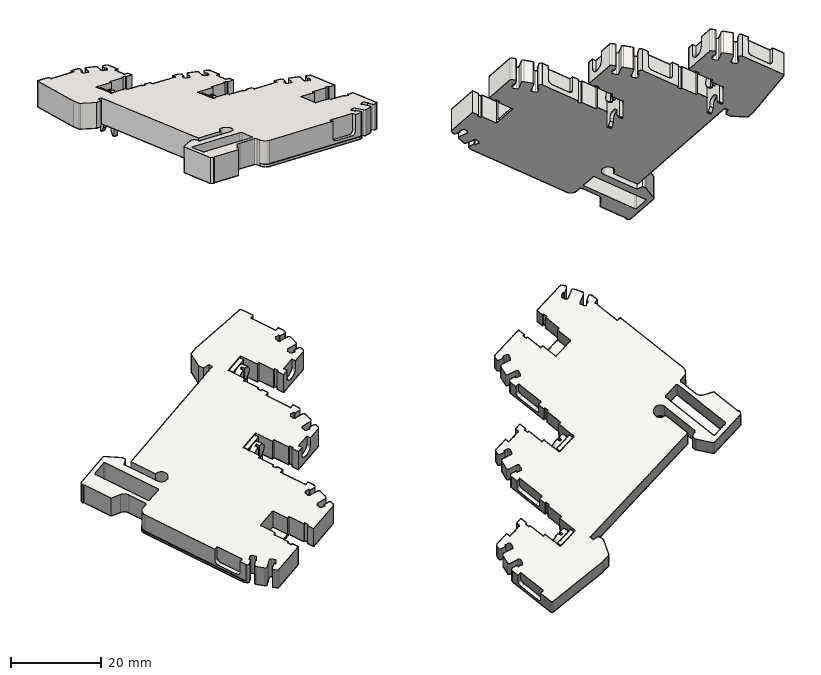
import cadquery as cq
import math

length = 62.0
height = 50.5
thickness = 6.15

lip_width = 0.2
lip_height = 0.6

pitch_x = 17.05
pitch_y = 15.0
tower_left = [0, pitch_x, 2 * pitch_x]
tower_top = [height - 2 * pitch_y, height - pitch_y, height]
notch_width = 6.2
wall_right = length - lip_width
big_center = (tower_left[2] + wall_right) / 2
notch_centers = [pitch_x - notch_width / 2, 2 * pitch_x - notch_width / 2, big_center]

notch_depth = 6.5
well_width = 5.0
seat_depth = 9.9
well_depth = 11.0
big_well_depth = 10.4
well_floor = 0.6
groove_depth = 0.4
groove_top = 1.7
groove_height = 0.9

lug_tilt = -20
lug_face = 2.35
lug_slot_end = 5.3
lug_slot_width = 1.2
lug_slot_relief = 0.4
lug_relief_start = 4.0
lug_axis = -3.15
lug_half_width = 1.4
lug_round = 0.45
slot_round = 0.45

entry_depth = 0.9
entry_top = 8.5
entry_height = 6.6
entry_floor = 1.3
entry_round = 1.05

driver_hole_width = 3.35
driver_hole_depth = 0.9
driver_hole_x = 7.7

screw_diameter = 4.35
screw_z = 3.5
screw_top = 8.45
screw_slot_width = 0.55
screw_slot_depth = 0.8
clamp_width = 4.35
clamp_top = thickness - 0.3
fork_width = 4.7
fork_thickness = 0.9
fork_reach = 4.45
fork_mouth = 2.6
fork_mouth_top = -1.2
fork_straight_end = -3.4
fork_tip = 0.45

rail_y = 5.95
hook_y = 5.1
hook_tip_y = 4.6
spring_slot_left = 50.5
spring_hole_radius = 1.5
spring_slot_right = spring_slot_left + spring_hole_radius
spring_hole_y = 14.0
leg_top = 15.5
leg_right = 58.9
wall_round = 1.55
left_corner = (0, 2.1)
hook_corner = (16.9, 0)
rail_left = 17.4
catch_top = (spring_slot_left, 3.7)
catch_bottom = (52.5, 0)
nose_start = 61.6
nose_y = 0.5
nose_height = 0.4
nose_step = 0.05
leg_bend = (leg_right, 9.8)
leg_corner = (leg_right, leg_top)
wall_corner = (wall_right, leg_top)
corner_round = 0.4
catch_round = 0.6
bend_round = 1.85
window_left = 53.9
window_right = 57.9
window_bottom = 1.1
window_round = 0.25


def block(x0, x1, y0, y1, z0=0.0, z1=thickness):
    """Box given by its limits."""
    return cq.Workplane("XY").box(x1 - x0, y1 - y0, z1 - z0, centered=False).translate((x0, y0, z0))


def vertical_near(points, reach=0.2):
    """Return an edge test: does the edge stand over one of the points?"""
    def test(edge):
        middle = edge.Center()
        return any(math.hypot(middle.x - x, middle.y - y) < reach for x, y in points)
    return test


def base_plate():
    """Stepped plate with the rail foot, without any tower details."""
    outline = [
        left_corner, (14.8, 0), hook_corner, (18.9, 3.3), (18.9, hook_tip_y),
        (rail_left, hook_y), (rail_left, rail_y),
        (spring_slot_left, rail_y), (spring_slot_left, spring_hole_y),
        (spring_slot_right, spring_hole_y), (spring_slot_right, hook_y),
        (spring_slot_left, hook_tip_y), catch_top, catch_bottom,
        (nose_start, 0), (length, nose_y), (length, nose_y + nose_height),
        (wall_right, nose_y + nose_height + nose_step), (wall_right, 8.05), leg_bend, leg_corner, wall_corner,
        (wall_right, tower_top[2]), (tower_left[2], tower_top[2]), (tower_left[2], tower_top[1]),
        (tower_left[1], tower_top[1]), (tower_left[1], tower_top[0]), (tower_left[0], tower_top[0]),
    ]
    plate = cq.Workplane("XY").polyline(outline).close().extrude(thickness)
    for radius, corners in [
        (corner_round, [left_corner, hook_corner, catch_bottom, leg_corner]),
        (catch_round, [catch_top]),
        (wall_round, [wall_corner]),
        (bend_round, [leg_bend]),
    ]:
        plate = plate.edges("|Z").filter(vertical_near(corners)).fillet(radius)
    spring_hole = (
        cq.Workplane("XY")
        .center(spring_slot_left, spring_hole_y)
        .circle(spring_hole_radius)
        .extrude(thickness)
    )
    window = block(window_left, window_right, window_bottom, leg_top).edges("|Z").fillet(window_round)
    return plate.cut(spring_hole).cut(window)


def lug_cutter():
    """Waste around the lugs of a left-hand tower corner, corner at the origin."""
    waste_reach = 12.4
    waste = block(-waste_reach, lug_face, -waste_reach, waste_reach)
    lug = block(0, lug_slot_end, -lug_half_width, lug_half_width)
    for side in (1, -1):
        near = side * lug_half_width
        far = near + side * lug_slot_width
        relief = far + side * lug_slot_relief
        slot = block(0, lug_slot_end, min(near, far), max(near, far))
        pocket = block(lug_relief_start, lug_slot_end, min(near, relief), max(near, relief))
        slot = slot.union(pocket)
        slot = slot.edges("|Z and >X").fillet(slot_round)
        waste = waste.union(slot.translate((0, lug_axis, 0)))
    return waste.rotate((0, 0, 0), (0, 0, 1), lug_tilt)


def shoulder(plate, x, y, facing):
    """Cut the slotted lugs into a tower corner at (x, y); facing is 1 for left corners, -1 for right."""
    cutter = lug_cutter()
    if facing < 0:
        cutter = cutter.mirror("YZ")
    plate = plate.cut(cutter.translate((x, y, 0)))

    tilt = math.radians(lug_tilt)
    slot_outer = lug_half_width + lug_slot_width
    tips = []
    for offset in (slot_outer, lug_half_width, -lug_half_width, -slot_outer):
        across = lug_axis + offset
        tips.append((
            lug_face * math.cos(tilt) - across * math.sin(tilt),
            lug_face * math.sin(tilt) + across * math.cos(tilt),
        ))
    tips.append((lug_face / math.cos(tilt), 0))
    corners = [(x + facing * dx, y + dy) for dx, dy in tips]
    return plate.edges("|Z").filter(vertical_near(corners)).fillet(lug_round)


def entry_recess(wall_x, top):
    """Recess in an outer wall, open at the upper face, with rounded lower corners."""
    upper = top - entry_top
    lower = upper - entry_height
    recess = block(wall_x - entry_depth, wall_x + entry_depth, lower, upper, entry_floor, thickness)
    return recess.edges("|X and <Z").fillet(entry_round)


def screw_notch(center, top):
    """Through notch between two towers with a groove in each side wall."""
    half = notch_width / 2
    notch = block(center - half, center + half, top - notch_depth, top)
    groove_y = top - groove_top
    grooves = block(
        center - half - groove_depth, center + half + groove_depth, groove_y - groove_height, groove_y
    )
    return notch.union(grooves)


def driver_hole(center, top):
    """Shallow round-bottomed notch in a tower top, open at the upper face."""
    radius = driver_hole_width / 2
    bore = (
        cq.Workplane("XZ", origin=(center, top, screw_z)).circle(radius).extrude(driver_hole_depth)
    )
    opening = block(center - radius, center + radius, top - driver_hole_depth, top, screw_z, thickness)
    return bore.union(opening)


def clamp_screw(center, top):
    """Slotted screw head, clamp body behind it and the fork tongue below."""
    seat = top - seat_depth
    head_top = top - screw_top
    head = (
        cq.Workplane("XZ", origin=(center, head_top, screw_z))
        .circle(screw_diameter / 2)
        .extrude(head_top - seat)
    )
    slot = block(
        center - screw_slot_width / 2, center + screw_slot_width / 2, head_top - screw_slot_depth, head_top
    )
    clamp = block(
        center - clamp_width / 2, center + clamp_width / 2, top - well_depth, seat, well_floor, clamp_top
    )
    return head.cut(slot).union(clamp).union(fork(center, seat))


def fork(center, back):
    """Flat tongue with an open round-ended mouth, pointing down."""
    half = fork_width / 2
    mouth = fork_mouth / 2
    arc_z = fork_mouth_top - mouth
    return (
        cq.Workplane("XZ", origin=(center, back + fork_thickness, 0))
        .moveTo(-half, screw_z)
        .lineTo(-half, -fork_reach)
        .lineTo(-half + fork_tip, -fork_reach)
        .lineTo(-mouth, fork_straight_end)
        .lineTo(-mouth, arc_z)
        .threePointArc((0, fork_mouth_top), (mouth, arc_z))
        .lineTo(mouth, fork_straight_end)
        .lineTo(half - fork_tip, -fork_reach)
        .lineTo(half, -fork_reach)
        .lineTo(half, screw_z)
        .close()
        .extrude(fork_thickness)
    )


def wall_lip():
    """Thin lip along the lower edge of the right-hand wall; the shoulder cut trims its far end."""
    lip = block(length - 2 * wall_round, length, leg_top, height, 0, lip_height)
    return lip.edges("|Z and >X and <Y").fillet(wall_round)


def well(center, top, upper_depth, lower_depth, floor):
    """Narrow pocket between two depths below a tower top."""
    half = well_width / 2
    return block(center - half, center + half, top - lower_depth, top - upper_depth, floor, thickness)


plate = base_plate().union(wall_lip())
for x, top in zip(tower_left, tower_top):
    plate = shoulder(plate, x, top, 1).cut(entry_recess(x, top))
plate = shoulder(plate, wall_right, height, -1).cut(entry_recess(wall_right, height))

for center, top in zip(notch_centers, tower_top):
    plate = plate.cut(screw_notch(center, top))

for x, center, top in zip(tower_left[:2], notch_centers, tower_top):
    plate = plate.cut(well(center, top, notch_depth, seat_depth, 0))
    plate = plate.cut(well(center, top, seat_depth, well_depth, well_floor))
    plate = plate.union(clamp_screw(center, top))
    plate = plate.cut(driver_hole(x + driver_hole_x, top))

result = plate.cut(well(big_center, height, notch_depth, big_well_depth, well_floor))